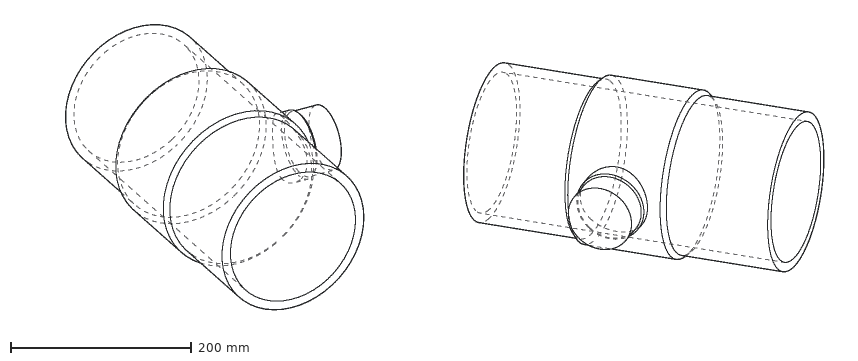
import cadquery as cq

pipe_length = 360.0
pipe_diameter = 180.0
wall = 10.7
bore_diameter = pipe_diameter - 2 * wall

collar_length = 120.0
collar_diameter = pipe_diameter + wall
collar_bevel = (collar_diameter - pipe_diameter) / 2

branch_reach = 140.0
branch_diameter = 75.0
base_reach = 109.0
base_diameter = 79.5
base_bevel = (base_diameter - branch_diameter) / 2


def cylinder_along_x(diameter, length):
    """Cylinder on the X axis, centred on the origin."""
    return cq.Workplane("YZ").circle(diameter / 2).extrude(length / 2, both=True)


def cylinder_along_y(diameter, reach):
    """Cylinder from the pipe axis out to the given Y."""
    return cq.Workplane("XZ").circle(diameter / 2).extrude(-reach)


def make_collar():
    collar = cylinder_along_x(collar_diameter, collar_length)
    return collar.faces("<X or >X").chamfer(collar_bevel)


def make_branch():
    base = cylinder_along_y(base_diameter, base_reach).faces(">Y").chamfer(base_bevel)
    return base.union(cylinder_along_y(branch_diameter, branch_reach))


body = cylinder_along_x(pipe_diameter, pipe_length)
body = body.union(make_collar()).union(make_branch())
result = body.cut(cylinder_along_x(bore_diameter, pipe_length))